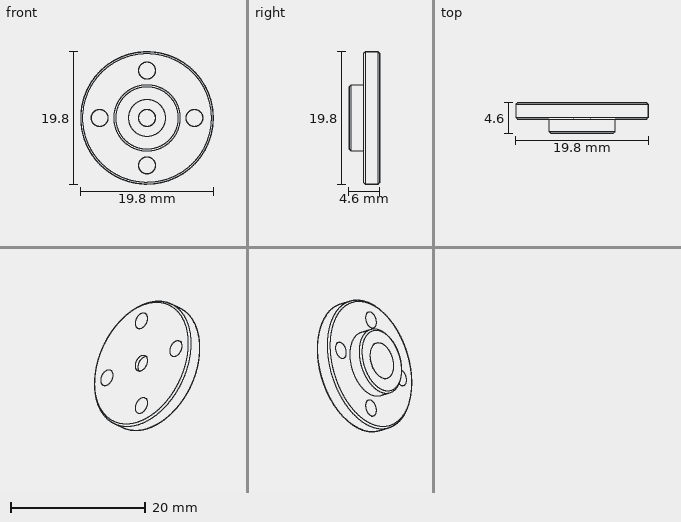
import cadquery as cq

flange_diameter = 19.8
flange_thickness = 2.5
hub_diameter = flange_diameter / 2
total_depth = 4.6
hub_height = total_depth - flange_thickness
edge_chamfer = 0.3

hole_diameter = 2.5
counterbore_diameter = 5.5
counterbore_depth = 4.0

bolt_circle_radius = 7.07
bolt_hole_count = 4


def disc(diameter, thickness, back_y=0.0):
    """Disc on the Y axis, extending from back_y towards -Y."""
    return (
        cq.Workplane("XZ", origin=(0, back_y, 0))
        .circle(diameter / 2)
        .extrude(thickness)
    )


def make_body():
    flange = disc(flange_diameter, flange_thickness).edges().chamfer(edge_chamfer)
    hub = disc(hub_diameter, hub_height, -flange_thickness)
    hub = hub.faces("<Y").edges().chamfer(edge_chamfer)
    return flange.union(hub)


def cut_bore(body):
    return body.faces("<Y").workplane(centerOption="CenterOfBoundBox").cboreHole(
        hole_diameter, counterbore_diameter, counterbore_depth
    )


def cut_bolt_holes(body):
    holes = (
        cq.Workplane("XZ")
        .polarArray(bolt_circle_radius, 0, 360, bolt_hole_count)
        .circle(hole_diameter / 2)
        .extrude(flange_thickness)
    )
    return body.cut(holes)


result = cut_bolt_holes(cut_bore(make_body()))